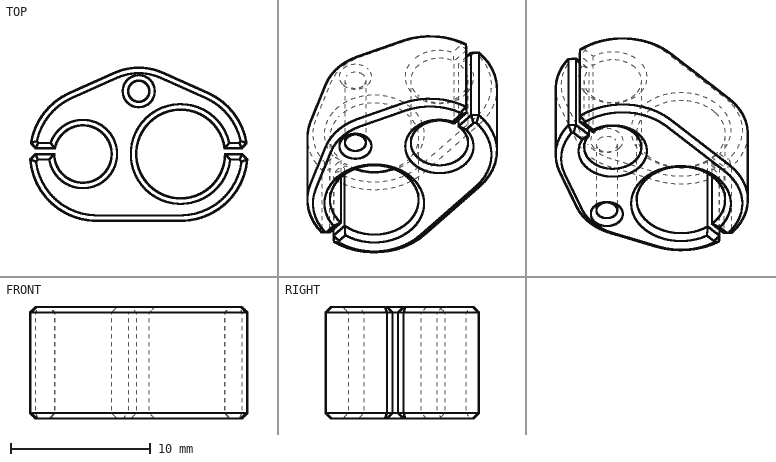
import cadquery as cq
import math

height = 8.0
edge_chamfer = 0.4

end_radius = 4.8
end_spacing = 6.0
crown_radius = 4.2
crown_center_y = 2.0
crown_x = -end_spacing / 2

large_bore_diameter = 6.35
small_bore_diameter = 4.1
small_bore_x = -7.0
pin_hole_diameter = 1.5
pin_hole_y = 4.5

slit_width = 0.4


def outline():
    """Closed outline of the body: flat base, end rounds and crown, joined by tangent lines."""
    center_distance = math.hypot(crown_x, crown_center_y)
    center_angle = math.atan2(crown_center_y, crown_x)
    tangent_angle = center_angle - math.acos((end_radius - crown_radius) / center_distance)
    normal_x = math.cos(tangent_angle)
    normal_y = math.sin(tangent_angle)

    def mirrored(point):
        return (2 * crown_x - point[0], point[1])

    base_right = (0, -end_radius)
    end_right = (end_radius, 0)
    shoulder_right = (end_radius * normal_x, end_radius * normal_y)
    crown_right = (crown_x + crown_radius * normal_x, crown_center_y + crown_radius * normal_y)
    crown_top = (crown_x, crown_center_y + crown_radius)

    return (
        cq.Workplane("XY")
        .moveTo(*mirrored(base_right))
        .lineTo(*base_right)
        .threePointArc(end_right, shoulder_right)
        .lineTo(*crown_right)
        .threePointArc(crown_top, mirrored(crown_right))
        .lineTo(*mirrored(shoulder_right))
        .threePointArc(mirrored(end_right), mirrored(base_right))
        .close()
    )


def bore(x, y, diameter):
    """Through bore cutter."""
    return cq.Workplane("XY").center(x, y).circle(diameter / 2).extrude(height)


def slit(bore_x, direction):
    """Cutter running from a bore's centre out past the end of the body in +X (1) or -X (-1)."""
    length = 2 * end_radius
    return (
        cq.Workplane("XY")
        .center(bore_x + direction * length / 2, slit_width / 2)
        .rect(length, slit_width)
        .extrude(height)
    )


def chamfer_slit_mouths(body):
    """Bevel the upright edges where the slits break through the outer wall."""
    half_length = end_spacing / 2 + end_radius
    for direction in (-1, 1):
        end_x = crown_x + direction * half_length
        mouth = cq.selectors.BoxSelector(
            (end_x - edge_chamfer, -slit_width, 0),
            (end_x + edge_chamfer, 2 * slit_width, height),
        )
        body = body.edges("|Z").edges(mouth).chamfer(edge_chamfer)
    return body


body = outline().extrude(height)
body = body.cut(bore(0, 0, large_bore_diameter))
body = body.cut(bore(small_bore_x, 0, small_bore_diameter))
body = body.cut(bore(crown_x, pin_hole_y, pin_hole_diameter))
body = body.cut(slit(0, 1))
body = body.cut(slit(small_bore_x, -1))
body = chamfer_slit_mouths(body)

result = body.faces("<Z or >Z").edges().chamfer(edge_chamfer)